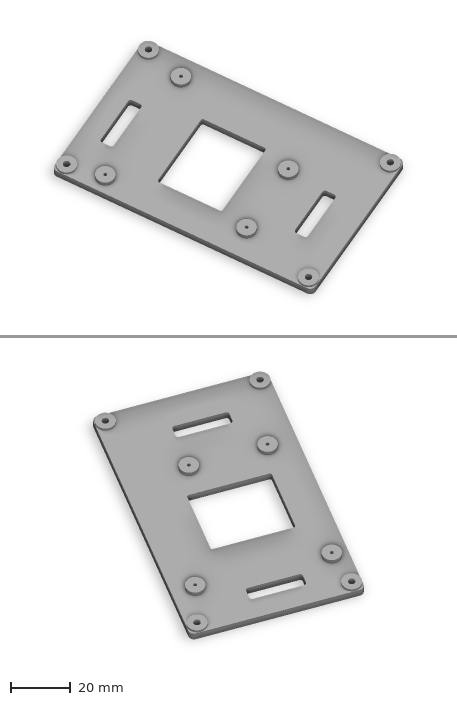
import cadquery as cq

length = 100.6
width = 62.0
plate_thickness = 3.0
corner_radius = 2.0

corner_boss_diameter = 7.0
corner_boss_height = 1.0
corner_hole_diameter = 2.5
corner_inset = 3.6

standoff_diameter = 6.8
standoff_height = 1.7
standoff_hole_diameter = 1.3
board_right_x = 18.7
board_right_y = 7.5
board_right_pitch = 27.9
standoff_points = [
    (-31.5, 22.7),
    (-33.1, -25.0),
    (board_right_x, board_right_y),
    (board_right_x, board_right_y - board_right_pitch),
]

window_length = 24.9
window_width = 30.0
window_center = (-4.8, -2.8)
window_corner_radius = 0.7
slot_length = 5.0
slot_width = 20.1
slot_centers = [(-39.7, -3.0), (35.2, -3.0)]
slot_corner_radius = 1.0


def rounded_block(size_x, size_y, height, radius, center=(0, 0)):
    """Block standing on Z = 0 with rounded vertical edges."""
    block = cq.Workplane("XY").center(*center).rect(size_x, size_y).extrude(height)
    return block.edges("|Z").fillet(radius)


def cylinders(points, diameter, height):
    """Equal upright cylinders standing on Z = 0."""
    return cq.Workplane("XY").pushPoints(points).circle(diameter / 2).extrude(height)


corner_x = length / 2 - corner_inset
corner_y = width / 2 - corner_inset
corner_points = [(x, y) for x in (-corner_x, corner_x) for y in (-corner_y, corner_y)]

corner_top = plate_thickness + corner_boss_height
standoff_top = plate_thickness + standoff_height

result = rounded_block(length, width, plate_thickness, corner_radius)
result = result.union(cylinders(corner_points, corner_boss_diameter, corner_top))
result = result.union(cylinders(standoff_points, standoff_diameter, standoff_top))

result = result.cut(cylinders(corner_points, corner_hole_diameter, corner_top))
result = result.cut(cylinders(standoff_points, standoff_hole_diameter, standoff_top))

result = result.cut(
    rounded_block(window_length, window_width, plate_thickness, window_corner_radius, window_center)
)
for slot_center in slot_centers:
    result = result.cut(
        rounded_block(slot_length, slot_width, plate_thickness, slot_corner_radius, slot_center)
    )